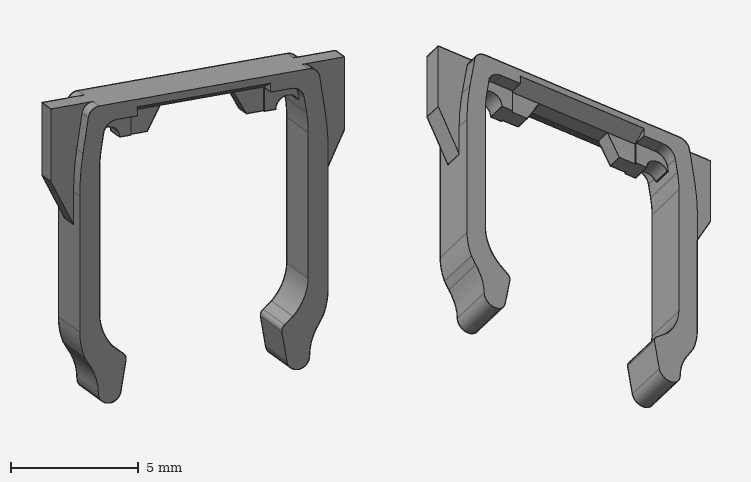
import cadquery as cq
import math

width = 1.9
span = 12.8
height = 12.5

leg_outer = 5.41
leg_thickness = 0.87
leg_inner = leg_outer - leg_thickness
bar_depth = 0.69
lean = math.radians(9)
outer_corner_radius = 0.49
inner_corner_radius = 0.59
outer_bend_radius = 11.21
inner_bend_radius = 5.38
outer_bend_bottom = -3.62
inner_bend_bottom = -2.66
outer_leg_bottom = -9.32
inner_leg_bottom = -8.77

foot_tip_radius = 0.5
foot_tip_y = 4.11
foot_tip_z = foot_tip_radius - height
foot_outer_mid = (5.36, -9.88)
foot_flank_top = (5.21, -10.4)
foot_flank_bottom = (5.0, -10.75)
foot_ankle_mid = (4.72, -11.32)
foot_inner_mid = (4.35, -9.57)
foot_inner_turn = (3.88, -10.24)
hook_start = (3.52, -10.53)
hook_mid = (3.42, -10.65)
hook_end = (3.39, -10.79)

tab_thickness = 0.8
tab_side_bottom = -3.05
tab_bottom = -5.0
block_bottom = -1.69
block_bottom_inner = 2.16
block_top_inner = 1.6
scallop_y = 3.92
scallop_radius = 0.51

middle_half_length = 2.9
middle_edge_depth = 0.32
middle_thickness = 0.64


def extrude_centered(outline, thickness):
    """Extrude a closed YZ outline equally to both sides of X = 0."""
    return outline.close().extrude(thickness / 2, both=True)


def bend_top(straight_y, bottom, radius, angle):
    """Point on a leg bend after turning inward through the given angle."""
    return (straight_y - radius * (1 - math.cos(angle)), bottom + radius * math.sin(angle))


def line_end(start, z):
    """Follow the leaning leg face from start up to height z."""
    return (start[0] - (z - start[1]) * math.tan(lean), z)


def corner(start, radius, top):
    """Tangent point, middle and end of the rounding from a leaning face to a level one."""
    center_z = top - radius
    tangent = line_end(start, center_z + radius * math.sin(lean))
    center_y = tangent[0] - radius * math.cos(lean)
    mid_angle = (lean + math.pi / 2) / 2
    middle = (center_y + radius * math.cos(mid_angle), center_z + radius * math.sin(mid_angle))
    return tangent, middle, (center_y, top)


def tip_point(angle):
    """Point on the round tip of a foot."""
    turn = math.radians(angle)
    return (foot_tip_y + foot_tip_radius * math.cos(turn), foot_tip_z + foot_tip_radius * math.sin(turn))


def half_strip():
    """Half of the crossbar with one leg and its hooked foot, on the +Y side."""
    outer_mid = bend_top(leg_outer, outer_bend_bottom, outer_bend_radius, lean / 2)
    outer_top = bend_top(leg_outer, outer_bend_bottom, outer_bend_radius, lean)
    inner_mid = bend_top(leg_inner, inner_bend_bottom, inner_bend_radius, lean / 2)
    inner_top = bend_top(leg_inner, inner_bend_bottom, inner_bend_radius, lean)
    outer_tangent, outer_round, outer_end = corner(outer_top, outer_corner_radius, 0)
    inner_tangent, inner_round, inner_end = corner(inner_top, inner_corner_radius, -bar_depth)
    outline = (
        cq.Workplane("YZ")
        .moveTo(0, 0)
        .lineTo(*outer_end)
        .threePointArc(outer_round, outer_tangent)
        .lineTo(*outer_top)
        .threePointArc(outer_mid, (leg_outer, outer_bend_bottom))
        .lineTo(leg_outer, outer_leg_bottom)
        .threePointArc(foot_outer_mid, foot_flank_top)
        .lineTo(*foot_flank_bottom)
        .threePointArc(foot_ankle_mid, tip_point(0))
        .threePointArc(tip_point(-90), tip_point(-170))
        .lineTo(*hook_end)
        .threePointArc(hook_mid, hook_start)
        .lineTo(*foot_inner_turn)
        .threePointArc(foot_inner_mid, (leg_inner, inner_leg_bottom))
        .lineTo(leg_inner, inner_bend_bottom)
        .threePointArc(inner_mid, inner_top)
        .lineTo(*inner_tangent)
        .threePointArc(inner_round, inner_end)
        .lineTo(0, -bar_depth)
    )
    return extrude_centered(outline, width)


def end_tab():
    """Thin tab on the outside of the leg, reaching in over the rounded corner."""
    outline = cq.Workplane("YZ").polyline([
        (leg_inner, 0),
        (span / 2, 0),
        (span / 2, tab_side_bottom),
        (leg_outer, tab_bottom),
        (leg_outer - leg_thickness / 2, tab_bottom),
    ])
    return extrude_centered(outline, tab_thickness)


def block():
    """Thin block in the inside corner, scalloped next to the leg."""
    outline = cq.Workplane("YZ").polyline([
        (block_top_inner, -bar_depth),
        (block_bottom_inner, block_bottom),
        (leg_inner, block_bottom),
        (leg_inner, -bar_depth),
    ])
    scallop = cq.Workplane("YZ").center(scallop_y, block_bottom).circle(scallop_radius)
    clearance = cq.Workplane("YZ").polyline([
        (scallop_y, block_bottom),
        (leg_inner, block_bottom),
        (leg_inner, block_bottom + scallop_radius / 2),
        (scallop_y, block_bottom + scallop_radius / 2),
    ])
    scallop_cut = scallop.extrude(tab_thickness, both=True)
    clearance_cut = extrude_centered(clearance, width)
    return extrude_centered(outline, tab_thickness).cut(scallop_cut).cut(clearance_cut)


def middle_cut():
    """Side reliefs that bevel the underside of the bar and thin the blocks."""
    profile = cq.Workplane("XZ").polyline([
        (width / 2, -middle_edge_depth),
        (middle_thickness / 2, -bar_depth),
        (middle_thickness / 2, block_bottom),
        (width / 2, block_bottom),
    ])
    relief = profile.close().extrude(middle_half_length, both=True)
    return relief.union(relief.mirror("YZ"))


half = block().union(half_strip()).union(end_tab())
result = half.union(half.mirror("XZ")).cut(middle_cut())